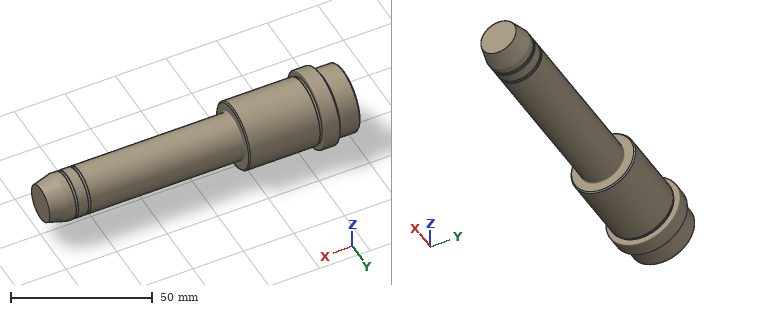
import cadquery as cq
import math

length = 120.0

head_radius = 26.0 / 2
head_end = 44.0
head_chamfer = 0.5

flange_radius = 30.0 / 2
flange_start = 9.0
flange_end = 15.0
flange_round = 0.5

relief_width = 1.0
relief_depth = 0.4

shank_radius = 18.0 / 2
shank_fillet = 0.6
tip_length = 7.0
tip_angle = 15.0
tip_radius = shank_radius - tip_length * math.tan(math.radians(tip_angle))

ring_starts = (104.5, 109.5)
ring_width = 1.0
ring_depth = 0.2


def cylinder(start, end, radius):
    """Solid cylinder along X between two X positions."""
    return cq.Workplane("YZ", origin=(start, 0, 0)).circle(radius).extrude(end - start)


def ring(start, width, outer_radius, depth):
    """Ring of material to cut for a groove around X."""
    outer = cylinder(start, start + width, outer_radius)
    return outer.cut(cylinder(start, start + width, outer_radius - depth))


def make_head():
    """Chamfered head cylinder with its rounded flange and relief grooves."""
    head = cylinder(0, head_end, head_radius).edges().chamfer(head_chamfer)
    for start in (flange_start - relief_width, flange_end):
        head = head.cut(ring(start, relief_width, head_radius, relief_depth))
    flange = cylinder(flange_start, flange_end, flange_radius).edges().fillet(flange_round)
    return head.union(flange)


def make_shank():
    """Revolved shank, flared by a fillet where it leaves the head."""
    tip_start = length - tip_length
    fillet_end = head_end + shank_fillet
    fillet_middle = shank_fillet * (1 - math.sqrt(0.5))
    profile = (
        cq.Workplane("XY")
        .moveTo(flange_end, 0)
        .lineTo(flange_end, shank_radius)
        .lineTo(head_end, shank_radius)
        .lineTo(head_end, shank_radius + shank_fillet)
        .threePointArc(
            (head_end + fillet_middle, shank_radius + fillet_middle),
            (fillet_end, shank_radius),
        )
        .lineTo(tip_start, shank_radius)
        .lineTo(length, tip_radius)
        .lineTo(length, 0)
        .close()
    )
    shank = profile.revolve(360, (0, 0, 0), (1, 0, 0))
    for start in ring_starts:
        shank = shank.cut(ring(start, ring_width, shank_radius, ring_depth))
    return shank


result = make_head().union(make_shank())